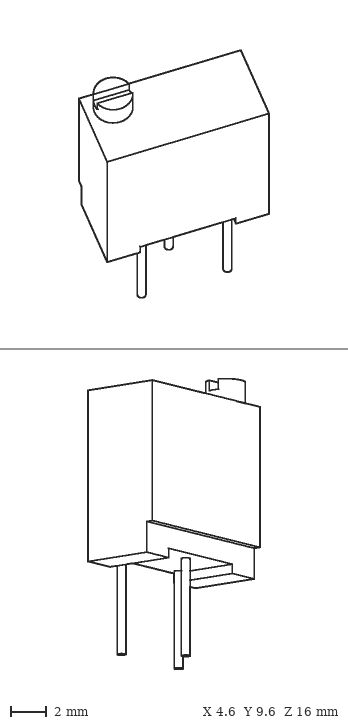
import cadquery as cq

BODY_LENGTH_X = 4.6
BODY_WIDTH_Y = 9.6
TOTAL_HEIGHT = 16.0

SCREW_DIAMETER = 2.2
SCREW_HEIGHT = 1.28
SCREW_X = 1.18
SCREW_Y = 1.6
SLOT_WIDTH = 0.64
SLOT_DEPTH = 0.6

PIN_EXPOSED_LENGTH = 5.0
BODY_BOTTOM = PIN_EXPOSED_LENGTH
BODY_TOP = TOTAL_HEIGHT - SCREW_HEIGHT
STEP_DEPTH = 0.4
STEP_HEIGHT = 1.75
NOTCH_WIDTH = 5.66
NOTCH_HEIGHT = 0.53

PIN_DIAMETER = 0.5
PIN_PITCH = 2.55
MIDDLE_PIN_X = 1.45


def make_housing():
    """Block with a step along its lower -X edge and a notch through its underside along X."""
    step_top = BODY_BOTTOM + STEP_HEIGHT
    profile = [
        (STEP_DEPTH, BODY_BOTTOM),
        (BODY_LENGTH_X, BODY_BOTTOM),
        (BODY_LENGTH_X, BODY_TOP),
        (0, BODY_TOP),
        (0, step_top),
        (STEP_DEPTH, step_top),
    ]
    block = cq.Workplane("XZ").polyline(profile).close().extrude(-BODY_WIDTH_Y)
    notch = (
        cq.Workplane("XY")
        .box(BODY_LENGTH_X, NOTCH_WIDTH, NOTCH_HEIGHT, centered=(False, True, False))
        .translate((0, BODY_WIDTH_Y / 2, BODY_BOTTOM))
    )
    return block.cut(notch)


def make_screw():
    """Round screw head with a driver slot running along Y."""
    head = cq.Workplane("XY").circle(SCREW_DIAMETER / 2).extrude(SCREW_HEIGHT)
    slot = (
        cq.Workplane("XY")
        .box(SLOT_WIDTH, SCREW_DIAMETER, SLOT_DEPTH, centered=(True, True, False))
        .translate((0, 0, SCREW_HEIGHT - SLOT_DEPTH))
    )
    return head.cut(slot).translate((SCREW_X, SCREW_Y, BODY_TOP))


def make_pins():
    """Three round pins that reach up to the ceiling of the notch."""
    middle_y = BODY_WIDTH_Y / 2
    outer_x = MIDDLE_PIN_X + PIN_PITCH
    centers = [
        (outer_x, middle_y - PIN_PITCH),
        (MIDDLE_PIN_X, middle_y),
        (outer_x, middle_y + PIN_PITCH),
    ]
    pin_length = PIN_EXPOSED_LENGTH + NOTCH_HEIGHT
    return cq.Workplane("XY").pushPoints(centers).circle(PIN_DIAMETER / 2).extrude(pin_length)


result = make_housing().union(make_screw()).union(make_pins())